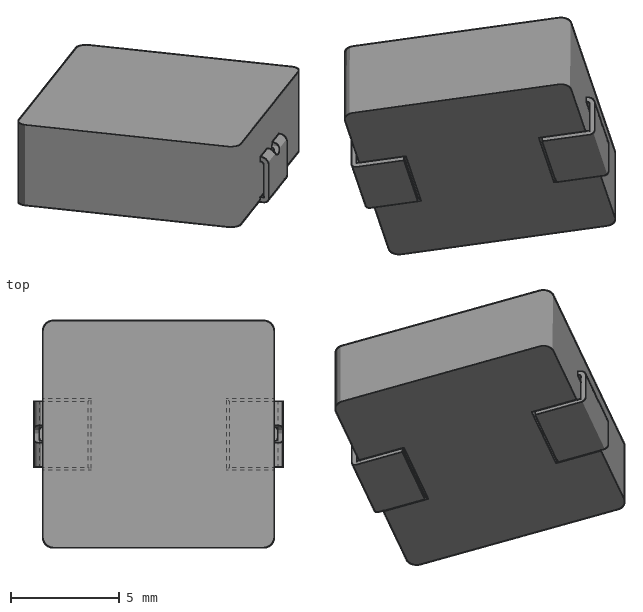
import cadquery as cq
import math

overall_length = 11.5
overall_height = 4.12

body_length = 10.7
body_width = 10.5
body_corner_radius = 0.5
standoff = 0.12

terminal_width = 3.05
terminal_thickness = 0.24
terminal_height = 2.25
pad_length = 2.48

recess_taper = 45.0

body_height = overall_height - standoff
outer_face = overall_length / 2
body_face = body_length / 2
bend_radius = outer_face - body_face
inner_bend_radius = bend_radius - terminal_thickness
bend_start = terminal_height - bend_radius
inner_face = outer_face - terminal_thickness
pad_end = outer_face - pad_length
recess_depth = terminal_thickness - standoff
recess_clearance = recess_depth * math.tan(math.radians(recess_taper))
recess_length = pad_length + recess_clearance
recess_width = terminal_width + 2 * recess_clearance
arc_offset = math.sqrt(0.5)
notch_radius = bend_radius


def make_body():
    """Block with rounded vertical corners, raised above the mounting plane."""
    return (
        cq.Workplane("XY")
        .workplane(offset=standoff)
        .rect(body_length, body_width)
        .extrude(body_height)
        .edges("|Z")
        .fillet(body_corner_radius)
    )


def make_recess():
    """Drafted pocket at the +X side, widest at the underside of the body."""
    return (
        cq.Workplane("XY")
        .workplane(offset=standoff)
        .center(pad_end - recess_clearance + recess_length / 2, 0)
        .rect(recess_length, recess_width)
        .extrude(recess_depth, taper=recess_taper)
    )


def make_terminal():
    """Terminal at the +X side: leaves the body, bends down, and folds under it."""
    outer_arc_mid = (body_face + bend_radius * arc_offset, bend_start + bend_radius * arc_offset)
    inner_arc_mid = (
        body_face + inner_bend_radius * arc_offset,
        bend_start + inner_bend_radius * arc_offset,
    )
    fold_arc_mid = (
        inner_face + terminal_thickness * arc_offset,
        terminal_thickness * (1 - arc_offset),
    )
    strip = (
        cq.Workplane("XZ")
        .moveTo(body_face, terminal_height)
        .threePointArc(outer_arc_mid, (outer_face, bend_start))
        .lineTo(outer_face, terminal_thickness)
        .threePointArc(fold_arc_mid, (inner_face, 0))
        .lineTo(pad_end, 0)
        .lineTo(pad_end, terminal_thickness)
        .lineTo(inner_face, terminal_thickness)
        .lineTo(inner_face, bend_start)
        .threePointArc(inner_arc_mid, (body_face, bend_start + inner_bend_radius))
        .close()
        .extrude(terminal_width / 2, both=True)
    )
    notch = (
        cq.Workplane("YZ")
        .workplane(offset=body_face)
        .center(0, terminal_height)
        .circle(notch_radius)
        .extrude(bend_radius)
    )
    return strip.cut(notch)


recess = make_recess()
terminal = make_terminal()
body = make_body().cut(recess).cut(recess.mirror("YZ"))
result = body.union(terminal).union(terminal.mirror("YZ"))